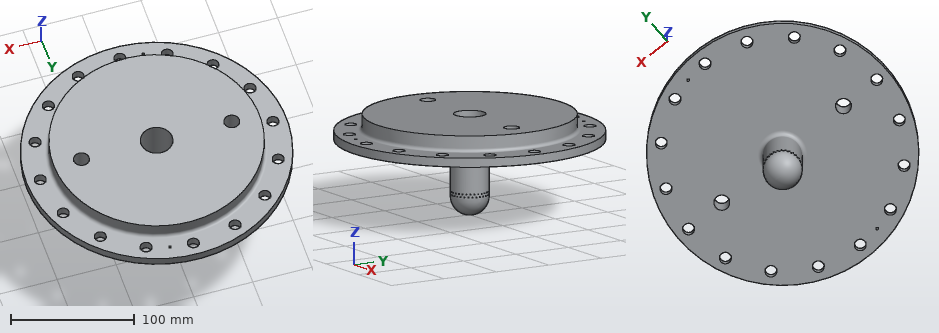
import cadquery as cq
import math

flange_diameter = 220.0
flange_thickness = 7.5
disc_diameter = 174.0
disc_height = 13.5
disc_fillet = 3.0
top_z = flange_thickness + disc_height

overall_height = 83.45
tube_diameter = 31.75
tube_radius = tube_diameter / 2
tube_root_fillet = 4.0
bore_diameter = 26.21
bore_radius = bore_diameter / 2
tip_z = top_z - overall_height
nose_center_z = tip_z + tube_radius

bolt_hole_diameter = 9.53
bolt_circle_diameter = 197.0
bolt_count = 16
port_diameter = 12.7
port_spacing = 127.3
pin_hole_diameter = 1.98
pin_circle_diameter = 197.0
pin_angle = 78.75

spray_hole_diameter = 0.66
spray_holes_per_ring = 30
spray_pitch = 360 / spray_holes_per_ring
lower_ring_height = 1.5
ring_spacing = 2.5
spray_overrun = 1.0


def polar_points(diameter, angles):
    """Points on a circle of the given diameter, angles in degrees from +X."""
    radius = diameter / 2
    return [
        (radius * math.cos(math.radians(angle)), radius * math.sin(math.radians(angle)))
        for angle in angles
    ]


def make_outer_body():
    """Revolve the flange, disc and tube with their concave root fillets."""
    disc_radius = disc_diameter / 2
    flange_radius = flange_diameter / 2
    diagonal = math.sqrt(0.5)
    disc_arc_offset = disc_fillet * (1 - diagonal)
    root_arc_offset = tube_root_fillet * (1 - diagonal)
    nose_offset = tube_radius * diagonal
    profile = (
        cq.Workplane("XZ")
        .moveTo(0, top_z)
        .lineTo(disc_radius, top_z)
        .lineTo(disc_radius, flange_thickness + disc_fillet)
        .threePointArc(
            (disc_radius + disc_arc_offset, flange_thickness + disc_arc_offset),
            (disc_radius + disc_fillet, flange_thickness),
        )
        .lineTo(flange_radius, flange_thickness)
        .lineTo(flange_radius, 0)
        .lineTo(tube_radius + tube_root_fillet, 0)
        .threePointArc(
            (tube_radius + root_arc_offset, -root_arc_offset),
            (tube_radius, -tube_root_fillet),
        )
        .lineTo(tube_radius, nose_center_z)
        .threePointArc((nose_offset, nose_center_z - nose_offset), (0, tip_z))
        .close()
    )
    return profile.revolve(360, (0, 0, 0), (0, 1, 0))


def make_bore():
    """Blind flat-bottomed bore from the top face down to the start of the nose."""
    bore_start = cq.Workplane("XY").workplane(offset=nose_center_z)
    return bore_start.circle(bore_radius).extrude(top_z - nose_center_z)


def make_plate_holes():
    """Bolt holes, two ports and two pin holes, all through the plate."""
    bolt_angles = [index * 360 / bolt_count for index in range(bolt_count)]
    pin_angles = [pin_angle, pin_angle + 180]
    groups = [
        (bolt_hole_diameter, polar_points(bolt_circle_diameter, bolt_angles)),
        (port_diameter, polar_points(port_spacing, [0, 180])),
        (pin_hole_diameter, polar_points(pin_circle_diameter, pin_angles)),
    ]
    cutters = []
    for diameter, points in groups:
        for x, y in points:
            cutters.append(cq.Solid.makeCylinder(diameter / 2, top_z, cq.Vector(x, y, 0)))
    return cutters


def make_spray_ring(height, first_angle):
    """Cutters for one ring of radial holes from inside the bore out through the tube wall."""
    inner_radius = bore_radius - spray_overrun
    length = tube_radius + spray_overrun - inner_radius
    cutters = []
    for index in range(spray_holes_per_ring):
        angle = math.radians(first_angle + index * spray_pitch)
        direction = cq.Vector(math.cos(angle), math.sin(angle), 0)
        start = direction * inner_radius + cq.Vector(0, 0, height)
        cutters.append(cq.Solid.makeCylinder(spray_hole_diameter / 2, length, start, direction))
    return cutters


lower_ring_z = nose_center_z + lower_ring_height
upper_ring_z = lower_ring_z + ring_spacing
spray_cutters = make_spray_ring(lower_ring_z, 0) + make_spray_ring(upper_ring_z, spray_pitch / 2)

body = make_outer_body().cut(make_bore())
result = cq.Workplane(body.val().cut(*make_plate_holes(), *spray_cutters))